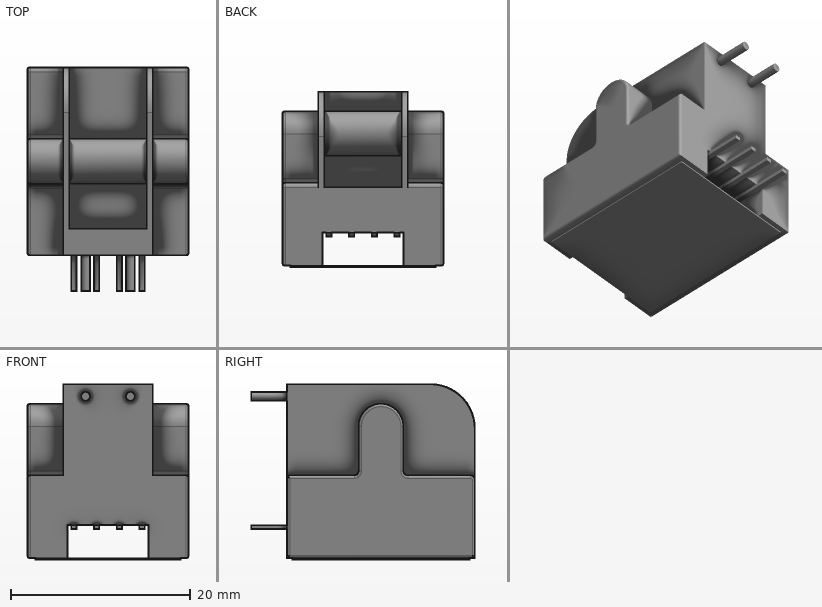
import cadquery as cq

width = 18.0
depth = 21.0
total_height = 19.6
base_plate_thickness = 0.15
base_plate_width = 16.2
base_plate_depth = 19.8
shoulder_z = 9.4
profile_fillet = 0.5
side_edge_radius = 0.3

hump_radius = 2.5
hump_top_z = 17.4

tower_width = 10.0
side_wall = 0.7
front_wall = 3.0
tower_corner_radius = 5.0

channel_width = 9.0
channel_top_z = 3.85

pin_length = 4.0
round_pin_diameter = 1.0
round_pin_spacing = 5.0
round_pin_drop = 1.38
flat_pin_width = 0.64
flat_pin_height = 0.45
flat_pin_pitch = 2.54
flat_pin_count = 4
flat_pin_inner_length = 10.5

front_y = -depth / 2
back_y = depth / 2
hump_axis_z = hump_top_z - hump_radius
pocket_width = tower_width - 2 * side_wall
pocket_floor_z = shoulder_z - profile_fillet


def box(x_size, y_min, y_max, z_min, z_max):
    """Box centred on X = 0 between the given Y and Z limits."""
    return (
        cq.Workplane("XY")
        .box(x_size, y_max - y_min, z_max - z_min, centered=(True, False, False))
        .translate((0, y_min, z_min))
    )


def make_hump(length):
    """Bar along X with a half-round top, standing on the shoulder level."""
    return (
        cq.Workplane("YZ")
        .moveTo(-hump_radius, shoulder_z)
        .lineTo(-hump_radius, hump_axis_z)
        .threePointArc((0, hump_top_z), (hump_radius, hump_axis_z))
        .lineTo(hump_radius, shoulder_z)
        .close()
        .extrude(length / 2, both=True)
    )


def make_block():
    """Lower block and hump, with rounded profile corners and softened end faces."""
    block = box(width, front_y, back_y, base_plate_thickness, shoulder_z)
    block = block.union(make_hump(width))
    for y in (-hump_radius, hump_radius, back_y):
        corner = cq.selectors.NearestToPointSelector((0, y, shoulder_z))
        block = block.edges("|X").edges(corner).fillet(profile_fillet)
    return block.faces("<X or >X").edges().fillet(side_edge_radius)


def make_tower():
    """Solid tower with its upper back corner rounded."""
    tower = box(tower_width, front_y, back_y, pocket_floor_z, total_height)
    return tower.edges("|X and >Y and >Z").fillet(tower_corner_radius)


def cut_pocket(body):
    """Clear the space between the side walls, leaving it open at the top and back."""
    pocket = box(pocket_width, front_y + front_wall, back_y, pocket_floor_z, total_height)
    return body.cut(pocket)


def make_pocket_bar():
    """Round bar that carries the hump across the pocket, above its floor."""
    bar = cq.Workplane("YZ").center(0, hump_axis_z).circle(hump_radius)
    return bar.extrude(tower_width / 2, both=True)


def cut_channel(body):
    """Cut the channel through the block from front to back, above the base plate."""
    return body.cut(box(channel_width, front_y, back_y, base_plate_thickness, channel_top_z))


def make_base_plate():
    """Thin plate under the block, which also closes the channel from below."""
    return box(
        base_plate_width, -base_plate_depth / 2, base_plate_depth / 2, 0, base_plate_thickness
    )


def make_round_pins():
    """Two round pins near the top of the front wall."""
    x = round_pin_spacing / 2
    return (
        cq.Workplane("XZ", origin=(0, front_y, total_height - round_pin_drop))
        .pushPoints([(-x, 0), (x, 0)])
        .circle(round_pin_diameter / 2)
        .extrude(pin_length)
    )


def make_flat_pin(x):
    """Flat pin centred on x, lying against the channel ceiling and out through the front."""
    y_end = front_y + flat_pin_inner_length
    pin_bottom_z = channel_top_z - flat_pin_height
    pin = box(flat_pin_width, front_y - pin_length, y_end, pin_bottom_z, channel_top_z)
    return pin.translate((x, 0, 0))


body = make_block().union(make_tower())
body = cut_pocket(body).union(make_pocket_bar())
body = cut_channel(body)
body = body.union(make_base_plate()).union(make_round_pins())
for i in range(flat_pin_count):
    body = body.union(make_flat_pin((i - (flat_pin_count - 1) / 2) * flat_pin_pitch))

result = body